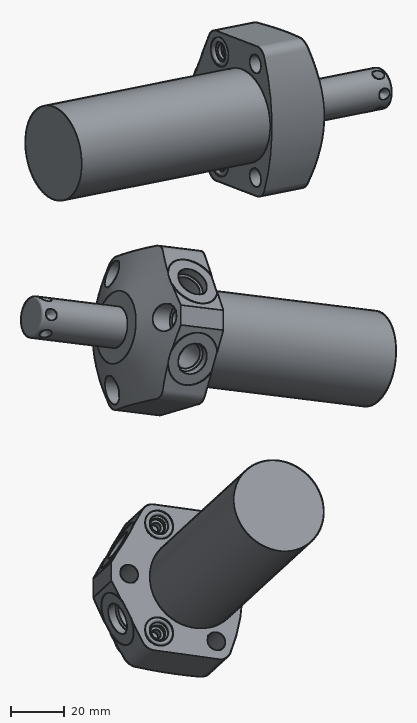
import cadquery as cq
import math

body_diameter = 36.3
body_length = 87.2
rod_diameter = 15.8
total_length = 151.43

flange_thickness = 26.3
flange_height = 58.6
flange_width = 52.83
flange_right = 19.3
flange_left = flange_right - flange_width
left_flat_half = 3.8
side_angle = 61.1
right_radius = 72.0
corner_radius = 5.0
cone_angle = 20.2
cone_flat_radius = 13.8

mount_diameter = 7.2
mount_counterbore_diameter = 10.5
mount_counterbore_y = 16.0
mount_left = (-26.4, 0.0)
mount_right_x = 8.7
mount_right_z = 22.2

port_z = 14.85
port_y = 9.7
spotface_diameter = 20.9
spotface_depth = 0.2
port_mouth_diameter = 12.2
port_mouth_depth = 3.5
port_bore_diameter = 10.6
port_taper_length = 0.7
port_depth = 16.0

seal_x = -14.3
seal_z = 21.45
seal_outer_radius = 5.65
seal_cord_radius = 0.95
seal_height = 0.4
seal_recess_depth = 1.4
seal_bore_radius = 3.0
seal_bore_depth = 3.0
seal_core_radius = 1.8
seal_core_depth = 6.0

rod_tip_radius = 1.0
dimple_count = 6
dimple_from_end = 3.9
dimple_radius = 2.5

rod_end = total_length - body_length
half_height = flange_height / 2


def y_cylinder(x, z, radius, y_start, length):
    """Cylinder along +Y that starts at y_start."""
    return cq.Workplane(cq.Solid.makeCylinder(radius, length, cq.Vector(x, y_start, z), cq.Vector(0, 1, 0)))


def make_flange():
    """Extruded outline whose front is trimmed by a cone."""
    run = (half_height - left_flat_half) / math.tan(math.radians(side_angle))
    shoulder_x = flange_left + run
    sagitta = right_radius - math.sqrt(right_radius**2 - half_height**2)
    right_x = flange_right - sagitta
    plate = (
        cq.Workplane("XZ")
        .moveTo(flange_left, -left_flat_half)
        .lineTo(flange_left, left_flat_half)
        .lineTo(shoulder_x, half_height)
        .lineTo(right_x, half_height)
        .threePointArc((flange_right, 0), (right_x, -half_height))
        .lineTo(shoulder_x, -half_height)
        .close()
        .extrude(-flange_thickness)
    )
    for face in (">Z", "<Z"):
        plate = plate.faces(face).edges("|Y").fillet(corner_radius)
    base_radius = cone_flat_radius + flange_thickness / math.tan(math.radians(cone_angle))
    cone = cq.Solid.makeCone(
        base_radius, cone_flat_radius, flange_thickness, cq.Vector(0, 0, 0), cq.Vector(0, 1, 0)
    )
    return plate.intersect(cq.Workplane(cone))


def cut_mounting_holes(flange):
    for x, z in (mount_left, (mount_right_x, mount_right_z), (mount_right_x, -mount_right_z)):
        flange = flange.cut(y_cylinder(x, z, mount_diameter / 2, 0, flange_thickness))
        flange = flange.cut(
            y_cylinder(x, z, mount_counterbore_diameter / 2, mount_counterbore_y, flange_thickness)
        )
    return flange


def cut_port(flange, side):
    """Spotfaced, stepped blind port; side is +1 for upper, -1 for lower."""
    angle = math.radians(side_angle)
    face_x = flange_left + (port_z - left_flat_half) / math.tan(angle)
    inward = cq.Vector(math.sin(angle), 0, -side * math.cos(angle))
    centre = cq.Vector(face_x, port_y, side * port_z)
    floor = centre + inward * spotface_depth
    spotface = cq.Solid.makeCylinder(spotface_diameter / 2, 2 * spotface_depth, floor, inward * -1)
    mouth = cq.Solid.makeCylinder(port_mouth_diameter / 2, port_mouth_depth, centre, inward)
    taper = cq.Solid.makeCone(
        port_mouth_diameter / 2,
        port_bore_diameter / 2,
        port_taper_length,
        centre + inward * port_mouth_depth,
        inward,
    )
    bore = cq.Solid.makeCylinder(port_bore_diameter / 2, port_depth, centre, inward)
    for cutter in (spotface, mouth, taper, bore):
        flange = flange.cut(cq.Workplane(cutter))
    return flange


def add_seal(flange, side):
    """Stepped recess with an O-ring standing proud of the back face."""
    z = side * seal_z
    flange = flange.cut(y_cylinder(seal_x, z, seal_outer_radius, 0, seal_recess_depth))
    flange = flange.cut(y_cylinder(seal_x, z, seal_bore_radius, 0, seal_bore_depth))
    flange = flange.cut(y_cylinder(seal_x, z, seal_core_radius, 0, seal_core_depth))
    ring = cq.Solid.makeTorus(
        seal_outer_radius - seal_cord_radius,
        seal_cord_radius,
        cq.Vector(seal_x, seal_cord_radius - seal_height, z),
        cq.Vector(0, 1, 0),
    )
    return flange.union(cq.Workplane(ring))


def make_rod():
    """Rod with a rounded tip and a ring of conical dimples."""
    radius = rod_diameter / 2
    rod = y_cylinder(0, 0, radius, 0, rod_end).faces(">Y").edges().fillet(rod_tip_radius)
    for index in range(dimple_count):
        angle = 2 * math.pi * index / dimple_count
        outward = cq.Vector(math.cos(angle), 0, math.sin(angle))
        apex = outward * (radius - dimple_radius) + cq.Vector(0, rod_end - dimple_from_end, 0)
        dimple = cq.Solid.makeCone(0, 2 * dimple_radius, 2 * dimple_radius, apex, outward)
        rod = rod.cut(cq.Workplane(dimple))
    return rod


flange = cut_mounting_holes(make_flange())
for side in (1, -1):
    flange = cut_port(flange, side)
    flange = add_seal(flange, side)

body = y_cylinder(0, 0, body_diameter / 2, -body_length, body_length)
result = flange.union(body).union(make_rod())